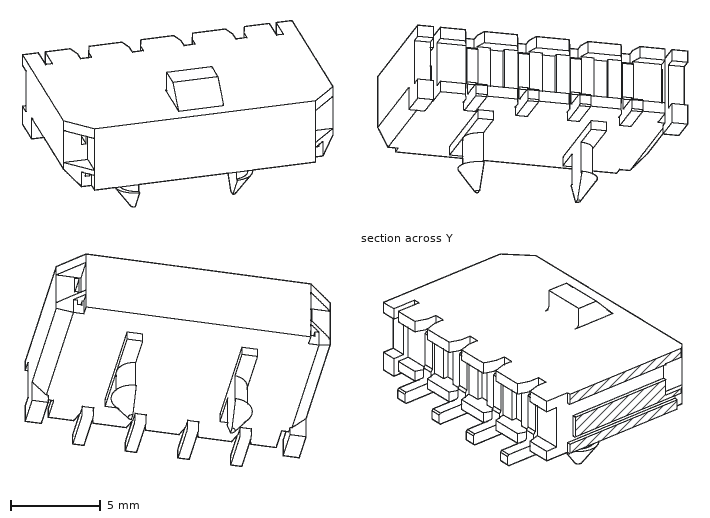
import cadquery as cq

body_length = 9.9
body_width = 15.65
body_bottom = 0.52
body_top = 4.37
half_width = body_width / 2
corner_x = 1.42
corner_y = 1.41
bottom_chamfer = 0.81

rear_wall_x = 0.72
lower_flange_top = 1.15
upper_flange_bottom = 3.7
pocket_width = 0.81
pocket_depth = 0.31

foot_length = 1.9
foot_width = 0.92

slot_length = 1.5
slot_inner_y = 6.51
slot_outer_y = half_width - foot_width
channel_outer_y = 6.78
web_start_x = foot_length
web_bottom = 1.44
web_top = 2.74

corner_start_x = body_length - corner_x
lower_recess_x = corner_start_x + bottom_chamfer
upper_recess_bottom = 1.75
upper_recess_top = 3.75

pin_count = 4
pin_pitch = 3.0
pin_width = 0.64
tail_tip_x = -1.44
tail_bottom = -0.05
tail_top = 0.67
leg_lower_x = 0.45
leg_upper_x = 0.56
leg_back_x = 1.22
leg_step_bottom = 1.3
leg_step_top = 1.47
leg_top = 3.57
bend_radius = 0.13
heel_radius = 0.17
pin_edge_chamfer = 0.1

notch_mouth_width = 1.1
notch_mouth_depth = 0.72
notch_end_x = 1.33
notch_floor_drop = 0.13

latch_width = 2.61
latch_rear_x = 6.62
latch_crest_x = 7.9
latch_front_x = 9.1
latch_top = 5.6
latch_fillet = 0.25

standoff_start_x = 2.2
standoff_end_x = 8.23
peg_x = 5.32
peg_flat_y = 2.83
peg_reach = 0.89
peg_radius = 1.0
barb_radius = 1.17
barb_tip_radius = 0.22
barb_top = -1.8
barb_bottom = -3.16


def box(x_range, y_range, z_range):
    """Axis-aligned block between pairs of limits."""
    (x0, x1), (y0, y1), (z0, z1) = (sorted(limits) for limits in (x_range, y_range, z_range))
    return cq.Workplane("XY").box(x1 - x0, y1 - y0, z1 - z0, centered=False).translate((x0, y0, z0))


def make_housing():
    """Block with bevelled mating corners, chamfered lower sides and two rear feet."""
    height = body_top - body_bottom
    body = box((0, body_length), (-half_width, half_width), (body_bottom, body_top))
    body = body.faces("<Z").edges("|X").chamfer(bottom_chamfer)
    bevelled = (
        cq.Workplane("XY", origin=(0, 0, body_bottom))
        .moveTo(0, -half_width)
        .lineTo(corner_start_x, -half_width)
        .lineTo(body_length, -half_width + corner_y)
        .lineTo(body_length, half_width - corner_y)
        .lineTo(corner_start_x, half_width)
        .lineTo(0, half_width)
        .close()
        .extrude(height)
    )
    body = body.intersect(bevelled)
    for side in (-1, 1):
        foot_y = (side * slot_outer_y, side * half_width)
        body = body.union(box((0, foot_length), foot_y, (0, upper_flange_bottom)))
    return body


def cut_rear_recess(body):
    """Set the rear wall back between the flanges, with a deeper pocket between pins."""
    levels = (lower_flange_top, upper_flange_bottom)
    body = body.cut(box((0, rear_wall_x), (-half_width, half_width), levels))
    for pin_y in pin_positions[:-1]:
        middle_y = pin_y + pin_pitch / 2
        pocket_y = (middle_y - pocket_width / 2, middle_y + pocket_width / 2)
        body = body.cut(box((rear_wall_x, rear_wall_x + pocket_depth), pocket_y, levels))
    return body


def cut_side_channels(body):
    """Slots, lengthwise channels and corner recesses near both ends of the row."""
    for side in (-1, 1):
        slot_y = (side * slot_inner_y, side * slot_outer_y)
        body = body.cut(box((0, slot_length), slot_y, (0, body_top)))
        channel_y = (side * slot_inner_y, side * channel_outer_y)
        channel = box((slot_length, body_length), channel_y, (lower_flange_top, upper_flange_bottom))
        web = box((web_start_x, body_length), channel_y, (web_bottom, web_top))
        body = body.cut(channel.cut(web))
        recess_y = (side * (half_width - corner_y), side * half_width)
        upper_levels = (upper_recess_bottom, upper_recess_top)
        body = body.cut(box((corner_start_x, body_length), recess_y, upper_levels))
        body = body.cut(box((lower_recess_x, body_length), recess_y, (body_bottom, web_bottom)))
    return body


def make_notch(pin_y, bottom, top):
    """Tapered mouth that narrows to a slot of the pin width."""
    half_mouth = notch_mouth_width / 2
    half_slot = pin_width / 2
    return (
        cq.Workplane("XY", origin=(0, pin_y, bottom))
        .moveTo(0, -half_mouth)
        .lineTo(notch_mouth_depth, -half_slot)
        .lineTo(notch_end_x, -half_slot)
        .lineTo(notch_end_x, half_slot)
        .lineTo(notch_mouth_depth, half_slot)
        .lineTo(0, half_mouth)
        .close()
        .extrude(top - bottom)
    )


def make_pin(pin_y):
    """Bent pin: flat solder tail and stepped upright leg."""
    bend_z = tail_top + bend_radius
    bend_x = leg_lower_x - bend_radius
    diagonal = bend_radius * 0.5 ** 0.5
    pin = (
        cq.Workplane("XZ", origin=(0, pin_y, 0))
        .moveTo(tail_tip_x, tail_bottom)
        .lineTo(tail_tip_x, tail_top)
        .lineTo(bend_x, tail_top)
        .threePointArc((bend_x + diagonal, bend_z - diagonal), (leg_lower_x, bend_z))
        .lineTo(leg_lower_x, leg_step_bottom)
        .lineTo(leg_upper_x, leg_step_top)
        .lineTo(leg_upper_x, leg_top)
        .lineTo(leg_back_x, leg_top)
        .lineTo(leg_back_x, tail_bottom)
        .close()
        .extrude(pin_width / 2, both=True)
    )
    pin = pin.faces("<X").edges("|Y").chamfer(pin_edge_chamfer)
    pin = pin.faces(">Z").edges("<X").chamfer(pin_edge_chamfer)
    return pin.faces(">X").edges("<Z").fillet(heel_radius)


def make_latch():
    """Ramp with an upright rear face and a concave fillet at its foot."""
    foot_x = latch_rear_x - latch_fillet
    fillet_z = body_top + latch_fillet
    diagonal = latch_fillet * 0.5 ** 0.5
    return (
        cq.Workplane("XZ")
        .moveTo(foot_x, body_top)
        .threePointArc((foot_x + diagonal, fillet_z - diagonal), (latch_rear_x, fillet_z))
        .lineTo(latch_rear_x, latch_top)
        .lineTo(latch_crest_x, latch_top)
        .lineTo(latch_front_x, body_top)
        .close()
        .extrude(latch_width / 2, both=True)
    )


def make_peg(side):
    """Standoff rail with a barbed half-round peg; the flat faces the middle."""
    rail_y = (side * peg_flat_y, side * (peg_flat_y + peg_reach))
    outer_half = (side * peg_flat_y, side * half_width)
    rail = box((standoff_start_x, standoff_end_x), rail_y, (0, body_bottom))
    stem_y = side * (peg_flat_y + peg_reach - peg_radius)
    stem = cq.Workplane("XY").center(peg_x, stem_y).circle(peg_radius).extrude(barb_top)
    stem = stem.intersect(box((0, body_length), outer_half, (barb_top, 0)))
    barb = (
        cq.Workplane("XZ", origin=(peg_x, side * peg_flat_y, 0))
        .moveTo(0, barb_top)
        .lineTo(barb_radius, barb_top)
        .lineTo(barb_tip_radius, barb_bottom)
        .lineTo(0, barb_bottom)
        .close()
        .revolve(360, (0, 0, 0), (0, 1, 0))
    )
    barb = barb.intersect(box((0, body_length), outer_half, (barb_bottom, barb_top)))
    return rail.union(stem).union(barb)


pin_positions = [(index - (pin_count - 1) / 2) * pin_pitch for index in range(pin_count)]

housing = cut_side_channels(cut_rear_recess(make_housing()))
for y in pin_positions:
    housing = housing.cut(make_notch(y, body_bottom, lower_flange_top))
    housing = housing.cut(make_notch(y, leg_top - notch_floor_drop, body_top))
    housing = housing.union(make_pin(y))
housing = housing.union(make_latch())
for peg_side in (-1, 1):
    housing = housing.union(make_peg(peg_side))

result = housing